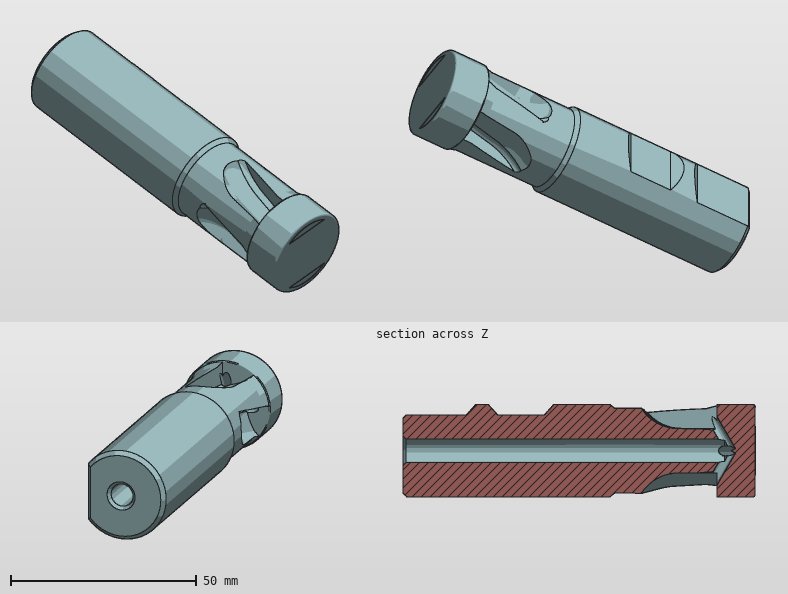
import cadquery as cq
import math

total_length = 95.2
body_length = 95.1
head_start = 84.7
flare_start = 81.9
shank_end = 55.9
neck_start = 57.1

outer_diameter = 25.0
outer_radius = outer_diameter / 2
neck_radius = 11.5
shank_chamfer = 1.1
head_rear_round = 0.3
flare_radius = outer_radius - head_rear_round
head_front_round = 0.7

flat_distance = 9.7
flat_end_chamfer = 0.95
ramp_length = 2.6
front_flat_end = 17.1
second_flat_start = 25.6
second_flat_end = 38.2

bore_radius = 3.1
bore_mouth_radius = 4.0
bore_depth = 86.8
drill_point_angle = 118.0
branch_radius = 1.3
branch_lean = 30.0
branch_start = 88.5
branch_length = 10.5

pocket_count = 4
pocket_lead_angle = 12.0
wall_offset = 1.0
corner_width = 2.0
floor_width = 5.3
flank_width = 5.7
start_floor = (6.1, 1.1, 0.5)
end_floor = (5.9, 2.3, 0.2)
flank_rise = 5.7
corner_sag = 0.3
pocket_top = 14.3
runout_axis_height = 17.9
runout_start = 74.9
pocket_run = 13.3
runout_turn = 90.0

crescent_radius = 10.9
crescent_inner_distance = 8.7


def revolve_about_x(points):
    """Revolve an (axial, radial) outline a full turn about the X axis."""
    return cq.Workplane("XY").polyline(points).close().revolve(360, (0, 0), (1, 0))


def shank_and_neck():
    outline = [
        (0, 0),
        (0, outer_radius - shank_chamfer),
        (shank_chamfer, outer_radius),
        (shank_end, outer_radius),
        (neck_start, neck_radius),
        (flare_start, neck_radius),
        (head_start, flare_radius),
        (head_start, 0),
    ]
    return revolve_about_x(outline)


def head():
    length = body_length - head_start
    cylinder = cq.Workplane("YZ", origin=(head_start, 0, 0)).circle(outer_radius).extrude(length)
    return cylinder.faces("<X").edges().fillet(head_rear_round).faces(">X").edges().fillet(head_front_round)


def end_crescents():
    height = total_length - body_length
    disc = cq.Workplane("YZ", origin=(body_length, 0, 0)).circle(crescent_radius).extrude(height)
    gap = (
        cq.Workplane("YZ", origin=(body_length, 0, 0))
        .rect(2 * crescent_radius, 2 * crescent_inner_distance)
        .extrude(height)
    )
    return disc.cut(gap)


def clamping_flats():
    front = [
        (0, flat_distance - flat_end_chamfer),
        (flat_end_chamfer, flat_distance),
        (front_flat_end, flat_distance),
        (front_flat_end + ramp_length, outer_radius),
        (0, outer_radius),
    ]
    second = [
        (second_flat_start, flat_distance),
        (second_flat_end, flat_distance),
        (second_flat_end + ramp_length, outer_radius),
        (second_flat_start - ramp_length, outer_radius),
    ]
    front_cutter = cq.Workplane("XY").polyline(front).close().extrude(outer_radius, both=True)
    second_cutter = cq.Workplane("XY").polyline(second).close().extrude(outer_radius, both=True)
    return front_cutter.union(second_cutter)


def coolant_bore():
    mouth_depth = bore_mouth_radius - bore_radius
    tip = bore_radius / math.tan(math.radians(drill_point_angle / 2))
    outline = [
        (0, 0),
        (0, bore_mouth_radius),
        (mouth_depth, bore_radius),
        (bore_depth, bore_radius),
        (bore_depth + tip, 0),
    ]
    return revolve_about_x(outline)


def coolant_branch():
    """Hole from the bore to the -Y pocket, leaning back toward the shank."""
    lean = math.radians(branch_lean)
    direction = cq.Vector(-math.sin(lean), -math.cos(lean), 0)
    return cq.Workplane(
        cq.Solid.makeCylinder(branch_radius, branch_length, cq.Vector(branch_start, 0, 0), direction)
    )


def pocket_section(sketch, corner_depth, floor_rise, floor_sag):
    """Pocket cross-section: x runs across from the wall, y is the distance from the tool axis."""
    corner = (-corner_width, corner_depth)
    floor_middle = (-corner_width - floor_width / 2, corner_depth + floor_rise / 2 - floor_sag)
    floor_end = (-corner_width - floor_width, corner_depth + floor_rise)
    flank_end = (floor_end[0] - flank_width, floor_end[1] + flank_rise)
    return (
        sketch.moveTo(0, pocket_top)
        .lineTo(0, corner_depth)
        .threePointArc((-corner_width / 2, corner_depth - corner_sag), corner)
        .threePointArc(floor_middle, floor_end)
        .lineTo(*flank_end)
        .lineTo(flank_end[0], pocket_top)
        .close()
    )


def chip_pocket():
    """Pocket on the -Y side: twists slightly toward the head, curves out of the neck at its other end."""
    lead = math.radians(pocket_lead_angle)
    along = cq.Vector(math.cos(lead), 0, -math.sin(lead))
    across = cq.Vector(math.sin(lead), 0, math.cos(lead))
    wall_at_start = wall_offset + (head_start - runout_start) * math.tan(lead)
    start_plane = cq.Plane(
        origin=(runout_start, 0, wall_at_start), xDir=across.toTuple(), normal=along.toTuple()
    )
    runout_sketch = pocket_section(cq.Workplane(start_plane), *start_floor)
    runout = runout_sketch.revolve(runout_turn, (0, runout_axis_height), (1, runout_axis_height))
    start_sketch = pocket_section(cq.Workplane(start_plane), *start_floor)
    both_sketches = pocket_section(start_sketch.workplane(offset=pocket_run), *end_floor)
    twisted = both_sketches.loft(ruled=True)
    return twisted.union(runout)


def around_axis(shape):
    return [
        shape.rotate((0, 0, 0), (1, 0, 0), i * 360 / pocket_count) for i in range(pocket_count)
    ]


result = shank_and_neck().cut(clamping_flats())
for pocket in around_axis(chip_pocket()):
    result = result.cut(pocket)
result = result.union(head()).union(end_crescents()).cut(coolant_bore())
for branch in around_axis(coolant_branch()):
    result = result.cut(branch)